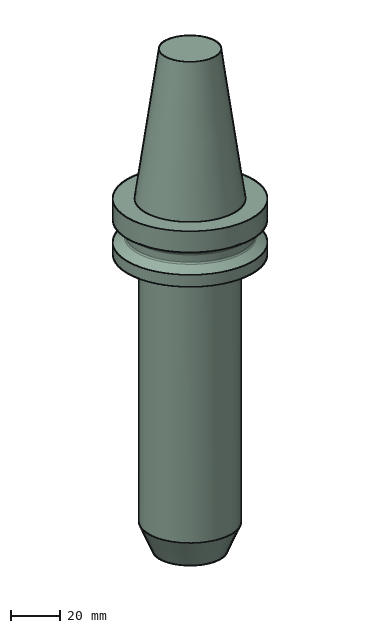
import cadquery as cq
import math

total_length = 225.5

taper_length = 67.5
taper_small_radius = 25.5 / 2
taper_large_radius = 45.3 / 2

flange_radius = 63.0 / 2
flange_thickness = 25.0
upper_rim_thickness = 9.5
lower_rim_thickness = 5.5
groove_radius = 53.0 / 2
groove_flank_height = 3.0
groove_corner_radius = 1.0

body_radius = 42.0 / 2
root_fillet_radius = 5.0
nose_tip_radius = 30.7 / 2
nose_length = 12.8

flange_top_z = total_length - taper_length
flange_bottom_z = flange_top_z - flange_thickness
groove_top_z = flange_top_z - upper_rim_thickness
groove_bottom_z = flange_bottom_z + lower_rim_thickness

profile = (
    cq.Workplane("XZ")
    .moveTo(0, 0)
    .lineTo(nose_tip_radius, 0)
    .lineTo(body_radius, nose_length)
    .lineTo(body_radius, flange_bottom_z - root_fillet_radius)
    .radiusArc((body_radius + root_fillet_radius, flange_bottom_z), root_fillet_radius)
    .lineTo(flange_radius, flange_bottom_z)
    .lineTo(flange_radius, groove_bottom_z)
    .lineTo(groove_radius, groove_bottom_z + groove_flank_height)
    .lineTo(groove_radius, groove_top_z - groove_flank_height)
    .lineTo(flange_radius, groove_top_z)
    .lineTo(flange_radius, flange_top_z)
    .lineTo(taper_large_radius, flange_top_z)
    .lineTo(taper_small_radius, total_length)
    .lineTo(0, total_length)
    .close()
)

holder = profile.revolve(360, (0, 0, 0), (0, 1, 0))


def is_groove_corner(edge):
    """Tell whether a circular edge lies at the bottom of the gripper groove."""
    return math.isclose(edge.radius(), groove_radius)


result = holder.edges("%CIRCLE").filter(is_groove_corner).fillet(groove_corner_radius)